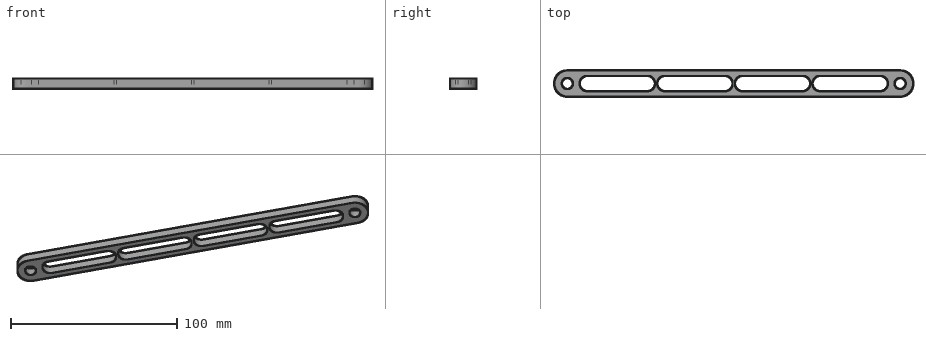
import cadquery as cq

length = 216.0
width = 16.0
thickness = 6.3

hole_diameter = 6.5
hole_spacing = length - width

slot_count = 4
slot_length = 45.1
slot_width = 9.0
slot_pitch = 46.7

bar = cq.Workplane("XY").slot2D(length, width).extrude(thickness)

bar = bar.faces(">Z").workplane().rarray(hole_spacing, 2.2, 2, 1).hole(hole_diameter)

result = (
    bar.faces(">Z")
    .workplane()
    .rarray(slot_pitch, 2.2, slot_count, 1)
    .slot2D(slot_length, slot_width)
    .cutThruAll()
)